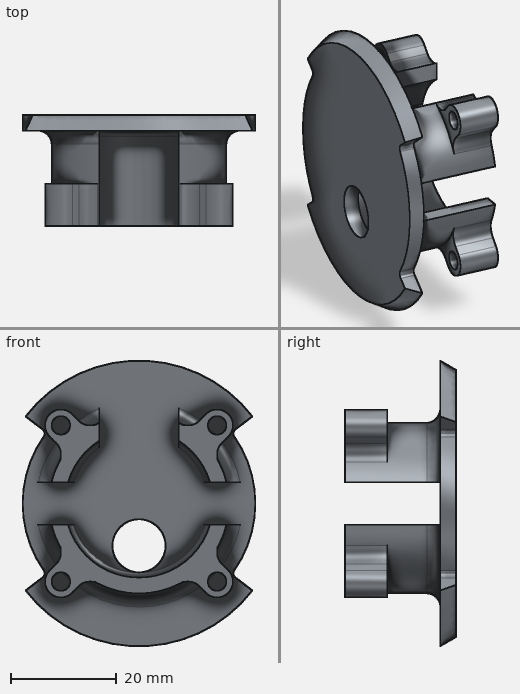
import cadquery as cq
import math

flange_thickness = 3.0
rim_radius = 27.0
rim_taper = 30.0
waist_radius = 22.0
notch_angle = 37.5
notch_fillet = 1.0

ring_outer_radius = 17.0
ring_inner_radius = 14.0
ring_height = 18.0
outer_root_fillet = 2.5
inner_root_fillet = 1.0
side_slot_width = 8.0
top_gap_width = 15.0

boss_offset = 14.75
boss_radius = 3.0
boss_length = 8.0
boss_hole_diameter = 3.5
boss_blend_radius = 3.0

cable_hole_radius = 5.0
cable_hole_z = -(ring_inner_radius - inner_root_fillet - cable_hole_radius)


def polar(radius, degrees):
    """Point at the given radius and angle in a plane."""
    angle = math.radians(degrees)
    return (radius * math.cos(angle), radius * math.sin(angle))


def front_plane(y):
    """Sketch plane facing -Y, with X to the right and Z up."""
    return cq.Workplane("XZ", origin=(0, y, 0))


def make_notch_cutter(side):
    """Region outside the waist between two large sectors, on one side of the flange."""
    arc_center_radius = waist_radius + notch_fillet
    fillet_angle = math.degrees(math.asin(notch_fillet / arc_center_radius))
    waist_end_angle = notch_angle - fillet_angle
    edge_start_radius = math.sqrt(arc_center_radius**2 - notch_fillet**2)
    clear_radius = 2 * rim_radius

    arc_center = polar(arc_center_radius, waist_end_angle)
    waist_end = polar(waist_radius, waist_end_angle)
    edge_start = polar(edge_start_radius, notch_angle)
    middle_direction = (waist_end_angle + 180 + notch_angle + 90) / 2
    middle_offset = polar(notch_fillet, middle_direction)
    arc_middle = (arc_center[0] + middle_offset[0], arc_center[1] + middle_offset[1])
    edge_end = polar(clear_radius, notch_angle)

    def place(point, half):
        return (side * point[0], half * point[1])

    return (
        front_plane(flange_thickness)
        .moveTo(*place(edge_end, 1))
        .lineTo(*place(edge_start, 1))
        .threePointArc(place(arc_middle, 1), place(waist_end, 1))
        .threePointArc((side * waist_radius, 0), place(waist_end, -1))
        .threePointArc(place(arc_middle, -1), place(edge_start, -1))
        .lineTo(*place(edge_end, -1))
        .close()
        .extrude(flange_thickness)
    )


def make_flange():
    """Tapered disc with a notch on each side and the cable hole."""
    rear_radius = rim_radius - flange_thickness * math.tan(math.radians(rim_taper))
    flange = (
        cq.Workplane("XY")
        .moveTo(0, 0)
        .lineTo(rim_radius, 0)
        .lineTo(rear_radius, flange_thickness)
        .lineTo(0, flange_thickness)
        .close()
        .revolve(360, (0, 0, 0), (0, 1, 0))
    )
    for side in (-1, 1):
        flange = flange.cut(make_notch_cutter(side))
    cable_hole = (
        front_plane(flange_thickness)
        .center(0, cable_hole_z)
        .circle(cable_hole_radius)
        .extrude(flange_thickness)
    )
    return flange.cut(cable_hole)


def make_ring():
    """Full ring wall with a concave fillet at each side of its root."""
    outer_foot = ring_outer_radius + outer_root_fillet
    inner_foot = ring_inner_radius - inner_root_fillet
    outer_sag = outer_root_fillet * math.sqrt(0.5)
    inner_sag = inner_root_fillet * math.sqrt(0.5)
    ring = (
        cq.Workplane("XY")
        .moveTo(inner_foot, 0)
        .lineTo(outer_foot, 0)
        .threePointArc(
            (outer_foot - outer_sag, outer_sag - outer_root_fillet),
            (ring_outer_radius, -outer_root_fillet),
        )
        .lineTo(ring_outer_radius, -ring_height)
        .lineTo(ring_inner_radius, -ring_height)
        .lineTo(ring_inner_radius, -inner_root_fillet)
        .threePointArc(
            (inner_foot + inner_sag, inner_sag - inner_root_fillet),
            (inner_foot, 0),
        )
        .close()
        .revolve(360, (0, 0, 0), (0, 1, 0))
    )
    return ring


def make_gap_cutter():
    """Side slots and top gap that split the ring into three legs."""
    side_slot = front_plane(0).rect(2 * rim_radius, side_slot_width).extrude(ring_height)
    top_gap = (
        front_plane(0)
        .center(0, rim_radius / 2)
        .rect(top_gap_width, rim_radius)
        .extrude(ring_height)
    )
    return side_slot.union(top_gap)


def make_boss(diagonal_angle):
    """Screw boss with an arm blended into the ring, turned to the given angle about Y."""
    boss_distance = boss_offset * math.sqrt(2)
    blend_center_v = boss_radius + boss_blend_radius
    blend_center_distance = ring_outer_radius + boss_blend_radius
    blend_center_u = math.sqrt(blend_center_distance**2 - blend_center_v**2)
    blend_angle = math.degrees(math.asin(blend_center_v / blend_center_distance))
    ring_touch = polar(ring_outer_radius, blend_angle)
    middle_offset = polar(boss_blend_radius, (blend_angle + 180 + 270) / 2)
    blend_middle = (blend_center_u + middle_offset[0], blend_center_v + middle_offset[1])
    base = polar((ring_inner_radius + ring_outer_radius) / 2, blend_angle)
    base_middle = ((ring_inner_radius + ring_outer_radius) / 2, 0)

    boss = (
        front_plane(boss_length - ring_height)
        .moveTo(*base)
        .lineTo(*ring_touch)
        .threePointArc(blend_middle, (blend_center_u, boss_radius))
        .lineTo(boss_distance, boss_radius)
        .threePointArc((boss_distance + boss_radius, 0), (boss_distance, -boss_radius))
        .lineTo(blend_center_u, -boss_radius)
        .threePointArc((blend_middle[0], -blend_middle[1]), (ring_touch[0], -ring_touch[1]))
        .lineTo(base[0], -base[1])
        .threePointArc(base_middle, base)
        .close()
        .extrude(boss_length)
    )
    hole = (
        front_plane(boss_length - ring_height)
        .center(boss_distance, 0)
        .circle(boss_hole_diameter / 2)
        .extrude(boss_length)
    )
    return boss.cut(hole).rotate((0, 0, 0), (0, 1, 0), diagonal_angle)


legs = make_ring()
for diagonal_angle in (45, 135, 225, 315):
    legs = legs.union(make_boss(diagonal_angle))
legs = legs.cut(make_gap_cutter())

result = make_flange().union(legs)